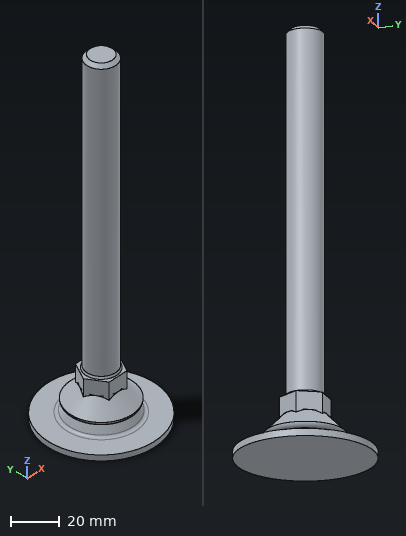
import cadquery as cq
import math

total_height = 186.0

disc_diameter = 60.0
disc_thickness = 3.2
neck_base_radius = 18.2
neck_top_radius = 15.6
neck_top_z = 8.2
neck_fillet = 2.0

rim_radius = 17.3
rim_rounding = 2.2
rim_top_z = neck_top_z + rim_rounding

hex_across_flats = 19.0
hex_top_z = 26.0
collar_height = 1.1
collar_base_radius = 8.5

rod_radius = 8.0
tip_chamfer = 1.9

cap_top_radius = hex_across_flats / 2
cap_top_z = rim_top_z + rim_radius - cap_top_radius


def revolve_profile(profile):
    """Turn a closed radius-height profile once around the Z axis."""
    return profile.close().revolve(360, (0, 0, 0), (0, 1, 0))


def make_foot():
    profile = (
        cq.Workplane("XZ")
        .lineTo(disc_diameter / 2, 0)
        .lineTo(disc_diameter / 2, disc_thickness)
        .lineTo(neck_base_radius, disc_thickness)
        .lineTo(neck_top_radius, neck_top_z)
        .lineTo(0, neck_top_z)
    )
    neck_root = cq.selectors.RadiusNthSelector(1)
    return revolve_profile(profile).edges("%CIRCLE").edges(neck_root).fillet(neck_fillet)


def make_cap():
    rounding_start = rim_radius - rim_rounding
    diagonal = rim_rounding * math.sqrt(0.5)
    profile = (
        cq.Workplane("XZ")
        .moveTo(0, neck_top_z)
        .lineTo(rounding_start, neck_top_z)
        .threePointArc(
            (rounding_start + diagonal, rim_top_z - diagonal),
            (rim_radius, rim_top_z),
        )
        .lineTo(cap_top_radius, cap_top_z)
        .lineTo(0, cap_top_z)
    )
    return revolve_profile(profile)


def make_nut(cap):
    """Hexagon with a tapered collar, a conical seat for the cap and a bore for the rod."""
    corner_radius = hex_across_flats / math.sqrt(3)
    seat_z = rim_top_z + rim_radius - corner_radius
    body = (
        cq.Workplane("XY")
        .workplane(offset=seat_z)
        .polygon(6, 2 * corner_radius)
        .extrude(hex_top_z - seat_z)
    )
    collar = revolve_profile(
        cq.Workplane("XZ")
        .moveTo(0, hex_top_z)
        .lineTo(collar_base_radius, hex_top_z)
        .lineTo(rod_radius, hex_top_z + collar_height)
        .lineTo(0, hex_top_z + collar_height)
    )
    bore = cq.Workplane("XY").circle(rod_radius).extrude(total_height)
    return body.union(collar).cut(cap).cut(bore)


def make_rod():
    return (
        cq.Workplane("XY")
        .workplane(offset=cap_top_z)
        .circle(rod_radius)
        .extrude(total_height - cap_top_z)
        .faces(">Z")
        .chamfer(tip_chamfer)
    )


foot = make_foot()
cap = make_cap()
nut = make_nut(cap)
rod = make_rod()

result = cq.Compound.makeCompound([foot.val(), cap.val(), nut.val(), rod.val()])